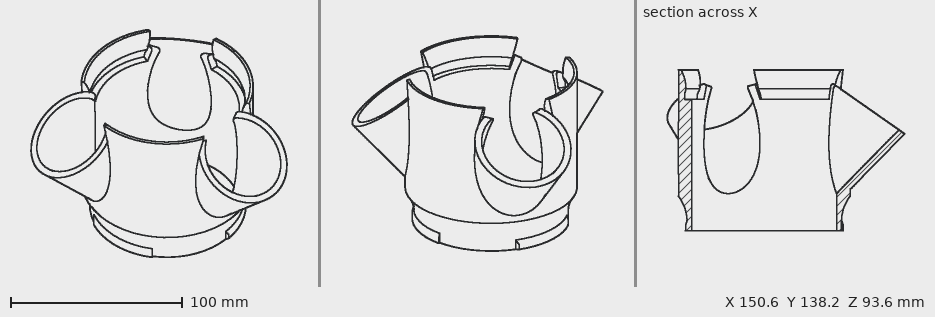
import cadquery as cq
import math

height = 93.6
bore_radius = 42.0
outer_radius = 50.03

neck_radius = 45.0
neck_top = 20.2
lug_radius = 45.9
lug_height = 3.2
lug_taper_top = 6.0
lug_sweep = 60
lug_lead_in = 2.0
bevel_overrun = 1.5

socket_depth = 17.2
socket_clearance = 0.3
socket_floor = height - socket_depth

cup_count = 3
cup_angles = [-90 + index * 360 / cup_count for index in range(cup_count)]
cup_lift = 55.0
cup_flare = 9.5
cup_rim_radius = 28.5
cup_inner_radius = 24.4
cup_center_offset = 58.4
cup_center_height = 72.7
cup_length = 67.7
notch_length = 45.1
rim_tip_round = 1.5


def neck_curve_offset(rise):
    """Outward offset of the neck arc at a rise above its vertical tangent."""
    full_rise = neck_top - lug_taper_top
    full_offset = outer_radius - neck_radius
    arc_radius = (full_rise**2 + full_offset**2) / (2 * full_offset)
    return arc_radius - math.sqrt(arc_radius**2 - rise**2)


def revolve_profile(profile, sweep=360):
    return profile.close().revolve(sweep, (0, 0, 0), (0, 1, 0))


def make_tube():
    """Solid outer body: straight neck, concave shoulder and cylinder."""
    shoulder_rise = neck_top - lug_taper_top
    mid_rise = shoulder_rise / 2
    profile = (
        cq.Workplane("XZ")
        .lineTo(neck_radius, 0)
        .lineTo(neck_radius, lug_taper_top)
        .threePointArc(
            (neck_radius + neck_curve_offset(mid_rise), lug_taper_top + mid_rise),
            (outer_radius, neck_top),
        )
        .lineTo(outer_radius, height)
        .lineTo(0, height)
    )
    return revolve_profile(profile)


def make_socket():
    """Cavity matching the neck and its lugs, with clearance all round."""
    throat_radius = neck_radius + socket_clearance
    groove_radius = lug_radius + socket_clearance
    throat_height = socket_floor + lug_taper_top
    mouth_rise = height - throat_height
    mid_rise = mouth_rise / 2
    profile = (
        cq.Workplane("XZ")
        .moveTo(0, socket_floor)
        .lineTo(groove_radius, socket_floor)
        .lineTo(groove_radius, socket_floor + lug_height)
        .lineTo(throat_radius, throat_height)
        .threePointArc(
            (throat_radius + neck_curve_offset(mid_rise), throat_height + mid_rise),
            (throat_radius + neck_curve_offset(mouth_rise), height),
        )
        .lineTo(0, height)
    )
    return revolve_profile(profile)


def make_lug():
    """Bayonet lug with a tapered top and a beveled leading end."""
    profile = (
        cq.Workplane("XZ")
        .moveTo(bore_radius, 0)
        .lineTo(lug_radius, 0)
        .lineTo(lug_radius, lug_height)
        .lineTo(neck_radius, lug_taper_top)
        .lineTo(bore_radius, lug_taper_top)
    )
    lug = revolve_profile(profile, lug_sweep)
    bevel = (
        cq.Workplane("XY")
        .moveTo(neck_radius, 0)
        .lineTo(lug_radius + bevel_overrun, 0)
        .lineTo(lug_radius + bevel_overrun, lug_lead_in)
        .lineTo(lug_radius, lug_lead_in)
        .close()
        .extrude(lug_taper_top)
    )
    return lug.cut(bevel)


def make_cup_cone(rim_radius, start, end):
    """Flared solid between two distances along the +X cup's axis from its rim."""
    slope = math.tan(math.radians(cup_flare))
    lift = math.radians(cup_lift)
    axis = cq.Vector(math.cos(lift), 0, math.sin(lift))
    base = cq.Vector(cup_center_offset, 0, cup_center_height) + axis * start
    cone = cq.Solid.makeCone(rim_radius + start * slope, rim_radius + end * slope, end - start, base, axis)
    return cq.Workplane(obj=cone)


def make_cup(bore, hollow):
    """Hollow cup, trimmed at the bore and rounded where its rim meets the bore."""
    cup = make_cup_cone(cup_rim_radius, -cup_length, 0).cut(bore)
    rim_slope = 1 / math.tan(math.radians(cup_lift))
    tip_height = cup_center_height + (cup_center_offset - bore_radius) * rim_slope
    rim_tip = cq.NearestToPointSelector((bore_radius, 0, tip_height))
    return cup.edges(rim_tip).fillet(rim_tip_round).cut(hollow)


def turned(shape, angle):
    return shape.rotate((0, 0, 0), (0, 0, 1), angle)


bore = cq.Workplane("XY").circle(bore_radius).extrude(height)
cup_opening = make_cup_cone(cup_rim_radius, -cup_length, notch_length)
cup_hollow = make_cup_cone(cup_inner_radius, -cup_length, notch_length)
cup = make_cup(bore, cup_hollow)
lug = make_lug()

result = make_tube().cut(make_socket()).cut(bore)
for angle in cup_angles:
    result = result.cut(turned(cup_opening, angle))
    result = result.union(turned(lug, angle))
for angle in cup_angles:
    result = result.union(turned(cup, angle))